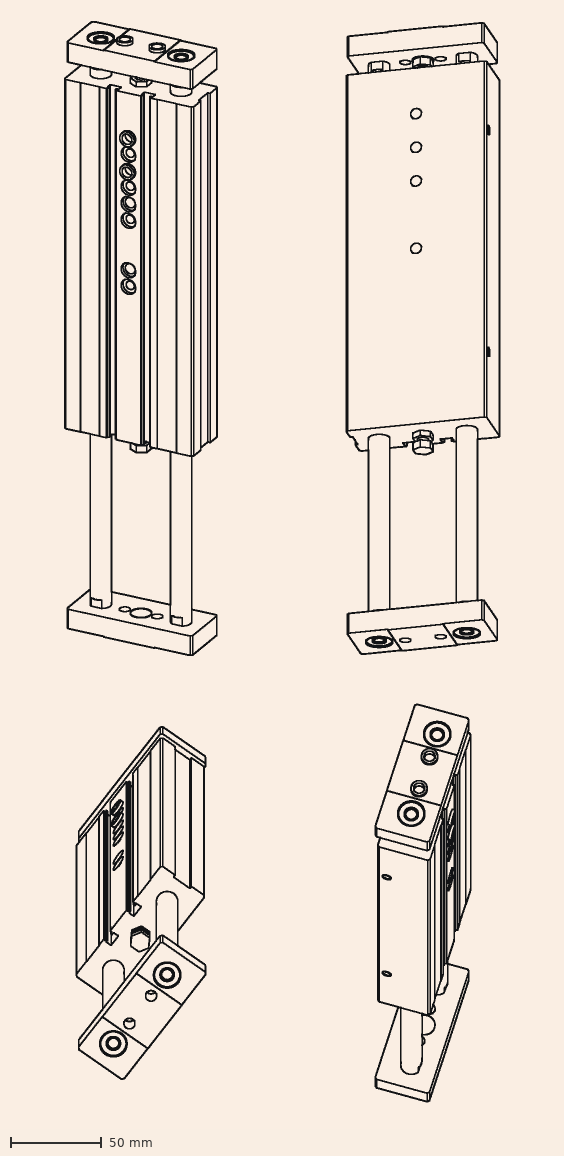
import cadquery as cq
import math


TOTAL_HEIGHT = 358.8
SLEEVE_PROTRUSION = 1.8
PAD_HEIGHT = 0.5
PLATE_THICKNESS = 12.0
HOUSING_BOTTOM = 122.0
HOUSING_LENGTH = 212.5
HOUSING_TOP = HOUSING_BOTTOM + HOUSING_LENGTH
LOWER_PLATE_TOP = PAD_HEIGHT + PLATE_THICKNESS
UPPER_PAD_TOP = TOTAL_HEIGHT - SLEEVE_PROTRUSION
UPPER_PLATE_BOTTOM = UPPER_PAD_TOP - LOWER_PLATE_TOP

ROD_DIAMETER = 12.0
ROD_SPACING = 50.0
ROD_XS = (-ROD_SPACING / 2, ROD_SPACING / 2)
FLAT_DEPTH = 0.97
FLAT_LENGTH = 5.0

HOUSING_WIDTH = 80.0
HOUSING_DEPTH = 30.0
HOUSING_FRONT = -HOUSING_DEPTH / 2
HOUSING_CHAMFER = 1.0
SLOT_SPACING = 21.0
SLOT_MOUTH_WIDTH = 4.0
SLOT_LIP = 2.0
SLOT_STEP = 1.0
SLOT_INNER_WIDTH = 6.8
SLOT_DEPTH = 5.5
STRIP_SPACING = 47.7
STRIP_WIDTH = 12.0
STRIP_DEPTH = 0.18
SIDE_GROOVE_WIDTH = 11.0
SIDE_GROOVE_DEPTH = 1.5
PORT_DIAMETER = 4.3
PORT_MOUTH_DIAMETER = 5.0
PORT_MOUTH_DEPTH = 0.5
PORT_DEPTH = 5.5
PORT_TIP = 1.5
PORT_Y = 9.7
PORT_ZS = (163.0, 295.3)

HOLE_PITCH = 10.0
FIRST_HOLE_Z = 307.0
THROUGH_HOLE_STEPS = (0, 2, 4, 8)
BLIND_HOLE_STEPS = (1, 3, 5, 9)
SLEEVE_HOLE_STEPS = (0, 2)
BLIND_HOLE_DIAMETER = 5.0
BLIND_HOLE_DEPTH = 9.0
BLIND_HOLE_TIP = 1.5

SLEEVE_DIAMETER = 9.0
SEAT_DEPTH = 2.0
SLEEVE_BORE = 6.0
SLEEVE_LENGTH = SLEEVE_PROTRUSION + SEAT_DEPTH

PLATE_WIDTH = 78.0
PLATE_BACK = 17.0
PLATE_FRONT = -14.5
PLATE_DEPTH = PLATE_BACK - PLATE_FRONT
PLATE_CENTRE_Y = (PLATE_BACK + PLATE_FRONT) / 2
PLATE_CHAMFER = 1.0
PAD_WIDTH = 31.5
PLATE_HOLE_SPACING = 20.0
PLATE_HOLE_XS = (-PLATE_HOLE_SPACING / 2, PLATE_HOLE_SPACING / 2)
SCREW_RECESS_MOUTH_DIAMETER = 15.0
SCREW_RECESS_MOUTH_DEPTH = 0.5
SCREW_RECESS_DIAMETER = 14.0
SCREW_RECESS_DEPTH = 0.7
SOCKET_MOUTH_DIAMETER = 8.0
SOCKET_MOUTH_DEPTH = 1.0
SOCKET_DIAMETER = 6.0
SOCKET_DEPTH = 1.5
STOP_RECESS_DIAMETER = 12.0
STOP_RECESS_DEPTH = 0.5

HEX_FLATS = 10.0
HEX_CORNERS = HEX_FLATS / math.cos(math.radians(30))
NUT_CHAMFER = 0.5
STOP_NUT_THICKNESS = 3.2
STOP_HEAD_THICKNESS = 4.3
UPPER_STOP_REACH = UPPER_PLATE_BOTTOM - HOUSING_TOP
LOWER_STOP_REACH = 10.0
STOP_PLACES = (
    (HOUSING_TOP, UPPER_STOP_REACH, 1),
    (HOUSING_BOTTOM, LOWER_STOP_REACH, -1),
)
SHANK_DIAMETER = 6.0
SHANK_EMBEDMENT = 7.0


def cylinder_z(diameter, x, bottom, height):
    return cq.Workplane("XY", origin=(x, 0, bottom)).circle(diameter / 2).extrude(height)


def cylinder_from_front(diameter, z, front, length):
    """Cylinder along +Y on the middle plane, starting at Y = front."""
    return cq.Workplane("XZ", origin=(0, front, z)).circle(diameter / 2).extrude(-length)


def hole_z(step):
    return FIRST_HOLE_Z - step * HOLE_PITCH


def slot_cutter(side):
    """T-slot along the whole housing, with a wider stepped entry."""
    mouth = SLOT_MOUTH_WIDTH / 2
    entry = mouth + SLOT_STEP
    inner = SLOT_INNER_WIDTH / 2
    return (
        cq.Workplane("XY", origin=(side * SLOT_SPACING / 2, HOUSING_FRONT, HOUSING_BOTTOM))
        .moveTo(-entry, 0)
        .lineTo(-entry, SLOT_STEP)
        .lineTo(-mouth, SLOT_STEP)
        .lineTo(-mouth, SLOT_LIP)
        .lineTo(-inner, SLOT_LIP)
        .lineTo(-inner, SLOT_DEPTH)
        .lineTo(inner, SLOT_DEPTH)
        .lineTo(inner, SLOT_LIP)
        .lineTo(mouth, SLOT_LIP)
        .lineTo(mouth, SLOT_STEP)
        .lineTo(entry, SLOT_STEP)
        .lineTo(entry, 0)
        .close()
        .extrude(HOUSING_LENGTH)
    )


def make_profile():
    """Extruded housing with slots, shallow front strips and a groove in its +X side."""
    profile = (
        cq.Workplane("XY", origin=(0, 0, HOUSING_BOTTOM))
        .rect(HOUSING_WIDTH, HOUSING_DEPTH)
        .extrude(HOUSING_LENGTH)
        .edges("|Z")
        .chamfer(HOUSING_CHAMFER)
    )
    for side in (-1, 1):
        strip = (
            cq.Workplane("XY", origin=(side * STRIP_SPACING / 2, HOUSING_FRONT, HOUSING_BOTTOM))
            .rect(STRIP_WIDTH, 2 * STRIP_DEPTH)
            .extrude(HOUSING_LENGTH)
        )
        profile = profile.cut(strip).cut(slot_cutter(side))
    groove = (
        cq.Workplane("XY", origin=(HOUSING_WIDTH / 2, 0, HOUSING_BOTTOM))
        .rect(2 * SIDE_GROOVE_DEPTH, SIDE_GROOVE_WIDTH)
        .extrude(HOUSING_LENGTH)
    )
    return profile.cut(groove)


def blind_hole(z):
    """Drilled hole with a pointed bottom, starting at the housing's front."""
    radius = BLIND_HOLE_DIAMETER / 2
    tip_start = cq.Vector(0, HOUSING_FRONT + BLIND_HOLE_DEPTH, z)
    tip = cq.Solid.makeCone(radius, 0, BLIND_HOLE_TIP, tip_start, cq.Vector(0, 1, 0))
    return cylinder_from_front(BLIND_HOLE_DIAMETER, z, HOUSING_FRONT, BLIND_HOLE_DEPTH).union(tip)


def side_port(z):
    """Port with a pointed bottom and a slightly wider mouth in the housing's -X side."""
    face = cq.Workplane("YZ", origin=(-HOUSING_WIDTH / 2, PORT_Y, z))
    bore = face.circle(PORT_DIAMETER / 2).extrude(PORT_DEPTH)
    mouth = face.circle(PORT_MOUTH_DIAMETER / 2).extrude(PORT_MOUTH_DEPTH)
    tip_start = cq.Vector(-HOUSING_WIDTH / 2 + PORT_DEPTH, PORT_Y, z)
    tip = cq.Solid.makeCone(PORT_DIAMETER / 2, 0, PORT_TIP, tip_start, cq.Vector(1, 0, 0))
    return bore.union(mouth).union(tip)


def make_housing():
    housing = make_profile()
    for x in ROD_XS:
        housing = housing.cut(cylinder_z(ROD_DIAMETER, x, HOUSING_BOTTOM, HOUSING_LENGTH))
    for bottom in (HOUSING_BOTTOM, HOUSING_TOP - SHANK_EMBEDMENT):
        housing = housing.cut(cylinder_z(SHANK_DIAMETER, 0, bottom, SHANK_EMBEDMENT))
    for step in THROUGH_HOLE_STEPS:
        z = hole_z(step)
        housing = housing.cut(cylinder_from_front(SLEEVE_DIAMETER, z, HOUSING_FRONT, SEAT_DEPTH))
        housing = housing.cut(cylinder_from_front(SLEEVE_BORE, z, HOUSING_FRONT, HOUSING_DEPTH))
    for step in BLIND_HOLE_STEPS:
        z = hole_z(step)
        housing = housing.cut(cylinder_from_front(SLEEVE_DIAMETER, z, HOUSING_FRONT, SEAT_DEPTH))
        housing = housing.cut(blind_hole(z))
    for z in PORT_ZS:
        housing = housing.cut(side_port(z))
    return housing


def screw_recess(x):
    """Stepped recess on a rod axis, sunk upwards from the plate's outer face."""
    steps = (
        (SCREW_RECESS_MOUTH_DIAMETER, SCREW_RECESS_MOUTH_DEPTH),
        (SCREW_RECESS_DIAMETER, SCREW_RECESS_DEPTH),
        (SOCKET_MOUTH_DIAMETER, SOCKET_MOUTH_DEPTH),
        (SOCKET_DIAMETER, SOCKET_DEPTH),
    )
    recess = cq.Workplane("XY")
    for diameter, depth in steps:
        recess = recess.union(cylinder_z(diameter, x, 0, PAD_HEIGHT + depth))
    return recess


def make_plate():
    """End plate lying on Z = 0 with its pad downwards."""
    plate = (
        cq.Workplane("XY", origin=(0, PLATE_CENTRE_Y, PAD_HEIGHT))
        .rect(PLATE_WIDTH, PLATE_DEPTH)
        .extrude(PLATE_THICKNESS)
        .edges("|Z")
        .chamfer(PLATE_CHAMFER)
    )
    pad = (
        cq.Workplane("XY", origin=(0, PLATE_CENTRE_Y, 0))
        .rect(PAD_WIDTH, PLATE_DEPTH)
        .extrude(PAD_HEIGHT)
    )
    plate = plate.union(pad)
    for x in PLATE_HOLE_XS:
        plate = plate.cut(cylinder_z(SLEEVE_BORE, x, 0, LOWER_PLATE_TOP))
    for x in ROD_XS:
        plate = plate.cut(screw_recess(x))
    stop_recess_floor = LOWER_PLATE_TOP - STOP_RECESS_DEPTH
    return plate.cut(cylinder_z(STOP_RECESS_DIAMETER, 0, stop_recess_floor, STOP_RECESS_DEPTH))


def make_upper_plate():
    """End plate turned over, with its pad upwards and seats for two sleeves."""
    plate = make_plate().mirror("XY").translate((0, 0, UPPER_PAD_TOP))
    for x in PLATE_HOLE_XS:
        plate = plate.cut(cylinder_z(SLEEVE_DIAMETER, x, UPPER_PAD_TOP - SEAT_DEPTH, SEAT_DEPTH))
    return plate


def make_rod(x):
    """Rod between the plates with a pair of wrench flats at each end."""
    length = UPPER_PLATE_BOTTOM - LOWER_PLATE_TOP
    rod = cylinder_z(ROD_DIAMETER, x, LOWER_PLATE_TOP, length)
    for bottom in (LOWER_PLATE_TOP, UPPER_PLATE_BOTTOM - FLAT_LENGTH):
        for side in (-1, 1):
            flat = (
                cq.Workplane("XY", origin=(x, side * ROD_DIAMETER / 2, bottom))
                .rect(ROD_DIAMETER, 2 * FLAT_DEPTH)
                .extrude(FLAT_LENGTH)
            )
            rod = rod.cut(flat)
    return rod


def make_carriage():
    """Both end plates and the two rods that join them, as one solid."""
    carriage = make_plate()
    for x in ROD_XS:
        carriage = carriage.union(make_rod(x))
    return carriage.union(make_upper_plate())


def hexagon(height):
    """Hexagonal prism on Z = 0 with corners at the front and back."""
    return cq.Workplane("XY").transformed(rotate=(0, 0, 90)).polygon(6, HEX_CORNERS).extrude(height)


def place_on_housing(body, seat_z, direction):
    """Put a body built upwards from Z = 0 on the housing end at seat_z, pointing up (+1) or down (-1)."""
    if direction < 0:
        body = body.mirror("XY")
    return body.translate((0, 0, seat_z))


def make_stop_screw(seat_z, reach, direction):
    shank = cylinder_z(SHANK_DIAMETER, 0, -SHANK_EMBEDMENT, SHANK_EMBEDMENT + reach)
    head = hexagon(STOP_HEAD_THICKNESS).translate((0, 0, reach - STOP_HEAD_THICKNESS))
    return place_on_housing(shank.union(head), seat_z, direction)


def make_stop_nut(seat_z, direction):
    """Hexagon nut with its corners turned off on the side away from the housing."""
    blank = cq.Workplane("XY").circle(HEX_CORNERS / 2).extrude(STOP_NUT_THICKNESS)
    nut = hexagon(STOP_NUT_THICKNESS).intersect(blank.faces(">Z").edges().chamfer(NUT_CHAMFER))
    nut = nut.cut(cylinder_z(SHANK_DIAMETER, 0, 0, STOP_NUT_THICKNESS))
    return place_on_housing(nut, seat_z, direction)


def make_sleeve():
    """Plain sleeve standing on Z = 0."""
    return cq.Workplane("XY").circle(SLEEVE_DIAMETER / 2).circle(SLEEVE_BORE / 2).extrude(SLEEVE_LENGTH)


def make_front_sleeve(step):
    sleeve = make_sleeve().rotate((0, 0, 0), (1, 0, 0), 90)
    return sleeve.translate((0, HOUSING_FRONT + SEAT_DEPTH, hole_z(step)))


def make_plate_sleeve(x):
    return make_sleeve().translate((x, 0, UPPER_PAD_TOP - SEAT_DEPTH))


housing = make_housing()
carriage = make_carriage()
stop_screws = []
stop_nuts = []
for seat_z, reach, direction in STOP_PLACES:
    stop_screws.append(make_stop_screw(seat_z, reach, direction))
    stop_nuts.append(make_stop_nut(seat_z, direction))
sleeves = [make_front_sleeve(step) for step in SLEEVE_HOLE_STEPS]
sleeves += [make_plate_sleeve(x) for x in PLATE_HOLE_XS]

result = cq.Compound.makeCompound(
    [
        housing.val(),
        carriage.val(),
        *[screw.val() for screw in stop_screws],
        *[nut.val() for nut in stop_nuts],
        *[sleeve.val() for sleeve in sleeves],
    ]
)